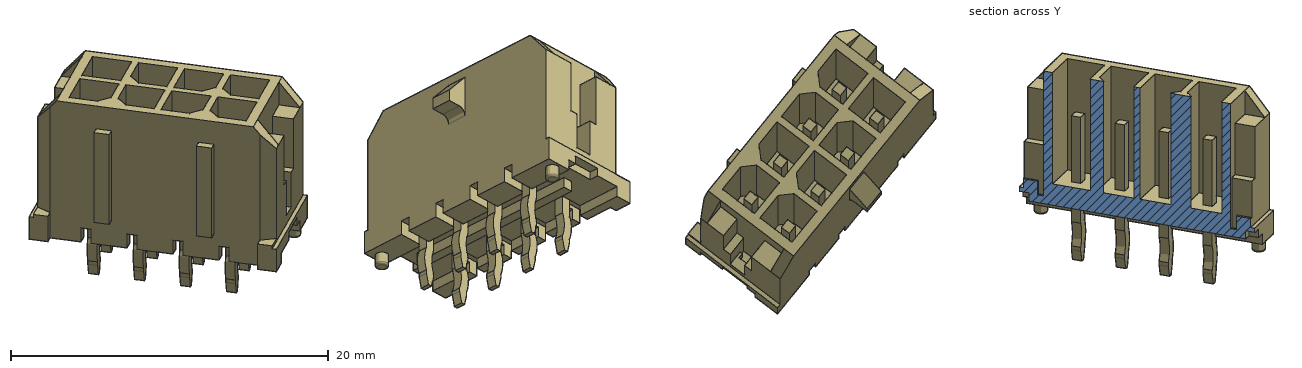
import cadquery as cq

FLANGE_LENGTH = 16.15
BODY_LENGTH = 15.6
BODY_DEPTH = 6.85
BODY_HEIGHT = 9.9
BACK_Y = BODY_DEPTH / 2
FRONT_Y = -BODY_DEPTH / 2
BODY_END_X = BODY_LENGTH / 2
FLANGE_END_X = FLANGE_LENGTH / 2

SHOULDER_Z = 8.27
END_WALL_X = 6.43
SHOULDER_BACK_Y = 2.65
SHOULDER_FRONT_Y = -2.42
CORNER_X = 6.85
CORNER_DEPTH = 0.48
FOOT_TOP_Z = 1.82
FLANGE_TOP_Z = 1.62
FRONT_PROJECTION = 0.52
FEATURE_FRONT_Y = FRONT_Y - FRONT_PROJECTION

WIDE_SLOT_WIDTH = 2.23
WIDE_SLOT_FLOOR_Z = 4.73
NARROW_SLOT_WIDTH = 1.15
NARROW_SLOT_FLOOR_Z = 2.23
PIT_FLOOR_Z = 1.3
PIT_OUTER_X = 6.8
PIT_TONGUE_X = 7.12
PIT_TONGUE_WIDTH = 0.79

RIB_WIDTH = 1.0
RIB_X = 3.35

LATCH_WIDTH = 1.44
LATCH_PROJECTION = 1.4
LATCH_RAMP_TOP_Z = 9.27
LATCH_NOSE_TOP_Z = 7.7
LATCH_BOTTOM_Z = 6.91
LATCH_FILLET = 0.5

COLUMNS = 4
PITCH = 3.0
PIN_SIZE = 0.65
PIN_TOP_Z = 6.78
CAVITY_SIZE = 2.55
CAVITY_FLOOR_Z = 2.23
KEY_BEVEL = 0.71
BEVEL_NONE, BEVEL_LEFT, BEVEL_RIGHT = 0, -1, 1
BACK_ROW_KEYS = [BEVEL_NONE, BEVEL_LEFT, BEVEL_RIGHT, BEVEL_LEFT]
FRONT_ROW_KEYS = [BEVEL_RIGHT, BEVEL_LEFT, BEVEL_RIGHT, BEVEL_LEFT]

TAIL_BOW_TOP_Z = -0.52
TAIL_BOW_BOTTOM_Z = -2.18
TAIL_BOW = 0.16
TAIL_TAPER_TOP_Z = -2.44
TAIL_TIP_Z = -3.2
TAIL_TIP_WIDTH = 0.27

CHANNEL_FRONT_Y = -2.76
CHANNEL_BACK_Y = 1.62
CHANNEL_HEIGHT = 0.73
CENTRE_RIB_WIDTH = 0.68
PIN_NOTCH_HEIGHT = 1.0
END_RECESS_WIDTH = 1.99
END_RECESS_TOP_Z = 1.3
END_RECESS_DEPTH = 0.65

PEG_DIAMETER = 0.85
PEG_LENGTH = 0.84
PEG_TIP_RADIUS = 0.15
PEG_X = 7.46
PEG_Y = 2.47

SIDES = (-1, 1)
COLUMN_X = [(i - (COLUMNS - 1) / 2) * PITCH for i in range(COLUMNS)]


def block(x_range, y_range, z_range):
    """Box spanning the given ranges; the ends of a range may come in either order."""
    (x0, x1), (y0, y1), (z0, z1) = sorted(x_range), sorted(y_range), sorted(z_range)
    return cq.Workplane("XY").box(x1 - x0, y1 - y0, z1 - z0, centered=False).translate((x0, y0, z0))


def middle(width):
    """Range of the given width about zero."""
    return (-width / 2, width / 2)


def make_housing():
    """Housing block with bevelled front corners, feet, flanges and front ribs."""
    outline = [
        (-BODY_END_X, 0),
        (BODY_END_X, 0),
        (BODY_END_X, SHOULDER_Z),
        (END_WALL_X, BODY_HEIGHT),
        (-END_WALL_X, BODY_HEIGHT),
        (-BODY_END_X, SHOULDER_Z),
    ]
    housing = cq.Workplane("XZ").polyline(outline).close().extrude(BODY_DEPTH / 2, both=True)
    for side in SIDES:
        corner = [
            (side * BODY_END_X, FRONT_Y),
            (side * BODY_END_X, FRONT_Y + CORNER_DEPTH),
            (side * CORNER_X, FRONT_Y),
        ]
        bevel = cq.Workplane("XY").workplane(offset=FOOT_TOP_Z).polyline(corner).close().extrude(BODY_HEIGHT)
        foot = block((side * CORNER_X, side * BODY_END_X), (FEATURE_FRONT_Y, 0), (0, FOOT_TOP_Z))
        flange = block((side * CORNER_X, side * FLANGE_END_X), (FEATURE_FRONT_Y, BACK_Y), (0, FLANGE_TOP_Z))
        rib_x = (side * RIB_X - RIB_WIDTH / 2, side * RIB_X + RIB_WIDTH / 2)
        rib = block(rib_x, (FEATURE_FRONT_Y, 0), (FOOT_TOP_Z, SHOULDER_Z))
        housing = housing.cut(bevel).union(foot).union(flange).union(rib)
    return housing


def make_end_slot(side):
    """Space above the shoulder, stepped slot and the small pit in its floor, at one end."""
    slot_x = (side * END_WALL_X, side * BODY_END_X)
    shoulder = block(slot_x, (SHOULDER_FRONT_Y, SHOULDER_BACK_Y), (SHOULDER_Z, BODY_HEIGHT))
    wide = block(slot_x, middle(WIDE_SLOT_WIDTH), (WIDE_SLOT_FLOOR_Z, BODY_HEIGHT))
    narrow = block(slot_x, middle(NARROW_SLOT_WIDTH), (NARROW_SLOT_FLOOR_Z, BODY_HEIGHT))
    pit_z = (PIT_FLOOR_Z, NARROW_SLOT_FLOOR_Z)
    pit = block((side * END_WALL_X, side * PIT_OUTER_X), middle(NARROW_SLOT_WIDTH), pit_z)
    tongue = block((side * END_WALL_X, side * PIT_TONGUE_X), middle(PIT_TONGUE_WIDTH), pit_z)
    return shoulder.union(wide).union(narrow).union(pit).union(tongue)


def make_latch():
    """Ramped latch with a filleted underside, on the back face."""
    nose_y = BACK_Y + LATCH_PROJECTION
    return (
        cq.Workplane("YZ")
        .moveTo(0, LATCH_RAMP_TOP_Z)
        .lineTo(BACK_Y, LATCH_RAMP_TOP_Z)
        .lineTo(nose_y, LATCH_NOSE_TOP_Z)
        .lineTo(nose_y, LATCH_BOTTOM_Z)
        .lineTo(BACK_Y + LATCH_FILLET, LATCH_BOTTOM_Z)
        .radiusArc((BACK_Y, LATCH_BOTTOM_Z - LATCH_FILLET), -LATCH_FILLET)
        .lineTo(0, LATCH_BOTTOM_Z - LATCH_FILLET)
        .close()
        .extrude(LATCH_WIDTH / 2, both=True)
    )


def make_cavity(x, y, key):
    """Square contact cavity; the key says which front corner is bevelled, if any."""
    cavity = (
        cq.Workplane("XY")
        .workplane(offset=CAVITY_FLOOR_Z)
        .center(x, y)
        .rect(CAVITY_SIZE, CAVITY_SIZE)
        .extrude(BODY_HEIGHT - CAVITY_FLOOR_Z)
    )
    if key == BEVEL_NONE:
        return cavity
    corner_edge = "<Y and <X" if key == BEVEL_LEFT else "<Y and >X"
    return cavity.edges("|Z").edges(corner_edge).chamfer(KEY_BEVEL)


def make_pin(x, side):
    """Square pin with a tail bowed away from the middle; side is -1 in the front row."""
    half = PIN_SIZE / 2
    half_tip = TAIL_TIP_WIDTH / 2
    bow_middle_z = (TAIL_BOW_TOP_Z + TAIL_BOW_BOTTOM_Z) / 2
    pin = (
        cq.Workplane("YZ")
        .moveTo(-half, PIN_TOP_Z)
        .lineTo(-half, TAIL_BOW_TOP_Z)
        .threePointArc((-half + side * TAIL_BOW, bow_middle_z), (-half, TAIL_BOW_BOTTOM_Z))
        .lineTo(-half, TAIL_TAPER_TOP_Z)
        .lineTo(-half_tip, TAIL_TIP_Z)
        .lineTo(half_tip, TAIL_TIP_Z)
        .lineTo(half, TAIL_TAPER_TOP_Z)
        .lineTo(half, TAIL_BOW_BOTTOM_Z)
        .threePointArc((half + side * TAIL_BOW, bow_middle_z), (half, TAIL_BOW_TOP_Z))
        .lineTo(half, PIN_TOP_Z)
        .close()
        .extrude(half, both=True)
    )
    return pin.translate((x, side * PITCH / 2, 0))


def make_underside():
    """Lengthwise channel beside a centre rib, pin notches and end recesses."""
    channel = block(middle(FLANGE_LENGTH), (CHANNEL_FRONT_Y, CHANNEL_BACK_Y), (0, CHANNEL_HEIGHT))
    centre_rib = block(middle(2 * END_WALL_X), middle(CENTRE_RIB_WIDTH), (0, CHANNEL_HEIGHT))
    space = channel.cut(centre_rib)
    for x in COLUMN_X:
        notch_x = (x - PIN_SIZE / 2, x + PIN_SIZE / 2)
        space = space.union(block(notch_x, (FRONT_Y, -PITCH / 2), (0, PIN_NOTCH_HEIGHT)))
        space = space.union(block(notch_x, (PITCH / 2, BACK_Y), (0, PIN_NOTCH_HEIGHT)))
    for side in SIDES:
        recess_x = (side * (FLANGE_END_X - END_RECESS_DEPTH), side * FLANGE_END_X)
        space = space.union(block(recess_x, middle(END_RECESS_WIDTH), (0, END_RECESS_TOP_Z)))
    return space


def make_peg(side):
    """Round locating peg with a rounded tip, at one end."""
    return (
        cq.Workplane("XY")
        .circle(PEG_DIAMETER / 2)
        .extrude(-PEG_LENGTH)
        .faces("<Z")
        .fillet(PEG_TIP_RADIUS)
        .translate((side * PEG_X, PEG_Y, 0))
    )


result = make_housing().union(make_latch()).cut(make_underside())
for side in SIDES:
    result = result.cut(make_end_slot(side)).union(make_peg(side))

for side, keys in ((1, BACK_ROW_KEYS), (-1, FRONT_ROW_KEYS)):
    for x, key in zip(COLUMN_X, keys):
        result = result.cut(make_cavity(x, side * PITCH / 2, key))
        result = result.union(make_pin(x, side))